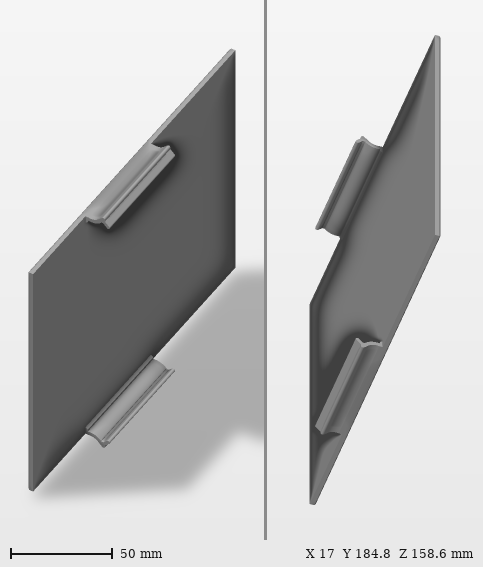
import cadquery as cq
import math

plate_thickness = 3.0
plate_width = 184.8
plate_height = 150.0
plate_chamfer = 0.5

clip_width = 59.9
clip_center_y = -14.6
overall_depth = 17.0
clip_rise = 4.3

arm_center_x = 6.0
arm_radius = 6.3
arm_thickness = 2.2
arm_start_angle = -11.0
arm_end_angle = 45.0

root_depth = 4.5
root_step = 1.2

barb_back_x = 14.2
lip_crest_x = 12.0
lip_crest_z = 0.5
lip_crest_length = 1.3
lip_end_radius = 1.0


def arm_point(radius, angle):
    """Point on an arm arc, with Z measured from the plate edge."""
    center_z = arm_radius * math.cos(math.radians(arm_start_angle))
    return (
        arm_center_x + radius * math.sin(math.radians(angle)),
        center_z - radius * math.cos(math.radians(angle)),
    )


def make_plate():
    plate = cq.Workplane("XY").box(
        plate_thickness, plate_width, plate_height, centered=(False, True, True)
    )
    return plate.faces("<X").chamfer(plate_chamfer)


def make_top_clip():
    middle_angle = (arm_start_angle + arm_end_angle) / 2
    inner_radius = arm_radius
    outer_radius = arm_radius + arm_thickness
    root_x, root_z = arm_point(outer_radius, arm_start_angle)
    rise_x, rise_z = arm_point(inner_radius, arm_end_angle)
    lip_inner_x = lip_crest_x + lip_crest_length

    tip_radius = (barb_back_x - clip_rise + rise_z - rise_x) / math.sqrt(2)
    tip_center_x = barb_back_x - tip_radius
    tip_center_z = clip_rise - tip_radius
    tip_offset = tip_radius / math.sqrt(2)

    lip_center_x = overall_depth - lip_end_radius
    diagonal = lip_end_radius / math.sqrt(2)
    inner_side_x = lip_center_x - diagonal
    inner_side_z = lip_crest_z - (inner_side_x - lip_inner_x)
    lip_center_z = inner_side_z + diagonal
    outer_side = (lip_center_x + diagonal, lip_center_z + diagonal)
    lip_far_point = (lip_center_x + diagonal, lip_center_z - diagonal)
    notch_z = outer_side[1] + outer_side[0] - barb_back_x

    profile = (
        cq.Workplane("XZ", origin=(0, clip_center_y, plate_height / 2))
        .moveTo(plate_thickness, 0)
        .lineTo(*arm_point(inner_radius, arm_start_angle))
        .threePointArc(arm_point(inner_radius, middle_angle), (rise_x, rise_z))
        .lineTo(tip_center_x - tip_offset, tip_center_z + tip_offset)
        .threePointArc((tip_center_x, clip_rise), (barb_back_x, tip_center_z))
        .lineTo(barb_back_x, notch_z)
        .lineTo(*outer_side)
        .threePointArc(lip_far_point, (inner_side_x, inner_side_z))
        .lineTo(lip_inner_x, lip_crest_z)
        .lineTo(lip_crest_x, lip_crest_z)
        .lineTo(*arm_point(outer_radius, arm_end_angle))
        .threePointArc(arm_point(outer_radius, middle_angle), (root_x, root_z))
        .lineTo(root_x, root_z - root_step)
        .lineTo(plate_thickness, -root_depth)
        .close()
    )
    return profile.extrude(clip_width / 2, both=True)


top_clip = make_top_clip()
bottom_clip = top_clip.mirror("XY")
result = make_plate().union(top_clip).union(bottom_clip)